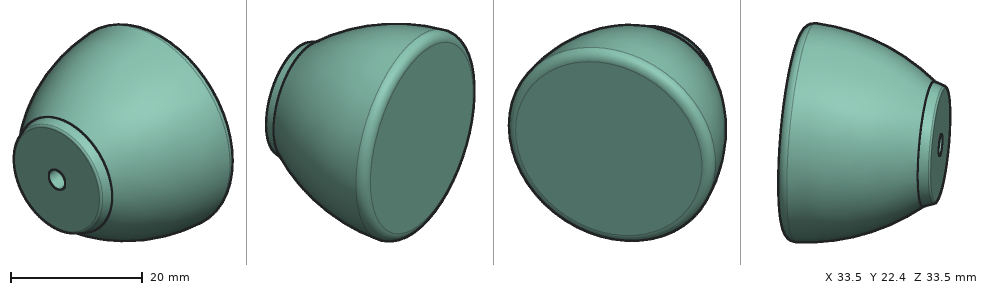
import cadquery as cq
import math

length = 22.4
max_radius = 16.73
rim_fillet = 1.6

foot_height = 1.85
foot_corner_radius = 8.95
foot_edge_fillet = 0.45
foot_top_radius = 9.57

band_height = 0.1
flank_start_radius = 9.67
flank_mid_radius = 14.72
flank_mid_height = 10.87

hole_radius = 1.67
hole_depth = 10.05
drill_point_angle = 118.0


def make_body():
    rim_start = length - rim_fillet
    rim_diagonal = rim_fillet * math.sqrt(0.5)
    return (
        cq.Workplane("XY")
        .lineTo(foot_corner_radius, 0)
        .lineTo(foot_top_radius, foot_height)
        .lineTo(flank_start_radius, foot_height + band_height)
        .threePointArc((flank_mid_radius, flank_mid_height), (max_radius, rim_start))
        .threePointArc(
            (max_radius - rim_fillet + rim_diagonal, rim_start + rim_diagonal),
            (max_radius - rim_fillet, length),
        )
        .lineTo(0, length)
        .close()
        .revolve(360, (0, 0), (0, 1))
        .faces("<Y")
        .edges()
        .fillet(foot_edge_fillet)
    )


def make_hole():
    point_depth = hole_radius / math.tan(math.radians(drill_point_angle / 2))
    return (
        cq.Workplane("XY")
        .lineTo(hole_radius, 0)
        .lineTo(hole_radius, hole_depth)
        .lineTo(0, hole_depth + point_depth)
        .close()
        .revolve(360, (0, 0), (0, 1))
    )


result = make_body().cut(make_hole())